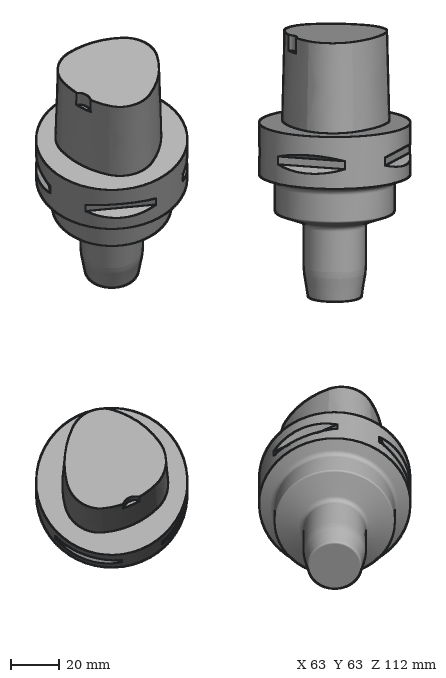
import cadquery as cq
import math

TOTAL_HEIGHT = 112.0
SHANK_HEIGHT = 38.0
FLANGE_TOP = TOTAL_HEIGHT - SHANK_HEIGHT

FLANGE_RADIUS = 63.0 / 2
FLANGE_BOTTOM = 52.1
COLLAR_RADIUS = 50.0 / 2
COLLAR_BOTTOM = 37.0
COLLAR_EDGE_ROUND = 0.9
NECK_RADIUS = 26.0 / 2
SHOULDER_ANGLE = math.radians(20)
SHOULDER_FILLET = 2.5

NOSE_BLEND_TOP = 13.0
NOSE_BLEND_RADIUS = 18.7
NOSE_ANGLE = math.radians(9)
TIP_ROUND = 0.9

LOBE_REACH = 23.5
FLANK_REACH = 20.5
LOBE_RADIUS = 14.9
SHANK_INSET = SHANK_HEIGHT / 40

GROOVE_COUNT = 4
GROOVE_Z = 62.0
GROOVE_FLOOR_HEIGHT = 3.4
GROOVE_FLOOR_DISTANCE = 27.8
GROOVE_WALL_ANGLE = math.radians(31)

NOTCH_RADIUS = 5.4
NOTCH_INNER_Y = -17.9
NOTCH_DEPTH = 6.5


def arc_point(center, radius, angle):
    """Point on a circle, angle in radians from the horizontal axis."""
    return (center[0] + radius * math.cos(angle), center[1] + radius * math.sin(angle))


def arc_to(sketch, center, radius, start, end):
    """Continue a sketch along a circle from angle start to angle end."""
    middle = arc_point(center, radius, (start + end) / 2)
    return sketch.threePointArc(middle, arc_point(center, radius, end))


def make_body():
    """Revolve the flange, collar, neck and nose."""
    cone_normal = SHOULDER_ANGLE - math.pi / 2
    slope = math.tan(SHOULDER_ANGLE)
    arc_width = 1 - math.sin(SHOULDER_ANGLE)
    arc_height = math.cos(SHOULDER_ANGLE)

    flange_cone_end = COLLAR_RADIUS + SHOULDER_FILLET * arc_width
    flange_cone_z = FLANGE_BOTTOM - (FLANGE_RADIUS - flange_cone_end) * slope
    collar_fillet = (COLLAR_RADIUS + SHOULDER_FILLET, flange_cone_z - SHOULDER_FILLET * arc_height)

    edge_round = (COLLAR_RADIUS - COLLAR_EDGE_ROUND, COLLAR_BOTTOM)
    collar_cone_start = arc_point(edge_round, COLLAR_EDGE_ROUND, cone_normal)
    collar_cone_end = NECK_RADIUS + SHOULDER_FILLET * arc_width
    collar_cone_z = collar_cone_start[1] - (collar_cone_start[0] - collar_cone_end) * slope
    neck_fillet = (NECK_RADIUS + SHOULDER_FILLET, collar_cone_z - SHOULDER_FILLET * arc_height)

    nose_blend = (NECK_RADIUS - NOSE_BLEND_RADIUS, NOSE_BLEND_TOP)
    nose_cone_start = arc_point(nose_blend, NOSE_BLEND_RADIUS, -NOSE_ANGLE)
    tip_tangent_z = TIP_ROUND * (1 - math.sin(NOSE_ANGLE))
    tip_tangent_r = nose_cone_start[0] - (nose_cone_start[1] - tip_tangent_z) * math.tan(NOSE_ANGLE)
    tip_round = (tip_tangent_r - TIP_ROUND * math.cos(NOSE_ANGLE), TIP_ROUND)

    profile = (
        cq.Workplane("XZ")
        .moveTo(0, FLANGE_TOP)
        .lineTo(FLANGE_RADIUS, FLANGE_TOP)
        .lineTo(FLANGE_RADIUS, FLANGE_BOTTOM)
        .lineTo(flange_cone_end, flange_cone_z)
    )
    fillet_start = math.pi / 2 + SHOULDER_ANGLE
    profile = arc_to(profile, collar_fillet, SHOULDER_FILLET, fillet_start, math.pi)
    profile = profile.lineTo(COLLAR_RADIUS, COLLAR_BOTTOM)
    profile = arc_to(profile, edge_round, COLLAR_EDGE_ROUND, 0, cone_normal)
    profile = profile.lineTo(collar_cone_end, collar_cone_z)
    profile = arc_to(profile, neck_fillet, SHOULDER_FILLET, fillet_start, math.pi)
    profile = profile.lineTo(NECK_RADIUS, NOSE_BLEND_TOP)
    profile = arc_to(profile, nose_blend, NOSE_BLEND_RADIUS, 0, -NOSE_ANGLE)
    profile = profile.lineTo(tip_tangent_r, tip_tangent_z)
    profile = arc_to(profile, tip_round, TIP_ROUND, -NOSE_ANGLE, -math.pi / 2)
    return profile.lineTo(0, 0).close().revolve(360, (0, 0, 0), (0, 1, 0))


def lobed_outline(plane, inset):
    """Draw three lobes joined by tangent flank arcs, moved inward by inset."""
    lobe_offset = LOBE_REACH - LOBE_RADIUS
    gap = LOBE_REACH - FLANK_REACH
    flank_offset = (2 * gap * lobe_offset - gap**2) / (lobe_offset - 2 * gap)
    flank_radius = FLANK_REACH + flank_offset - inset
    lobe_radius = LOBE_RADIUS - inset

    half_flank = math.atan2(
        lobe_offset * math.cos(math.pi / 6),
        flank_offset + lobe_offset * math.sin(math.pi / 6),
    )
    half_lobe = math.pi / 3 - half_flank

    first_lobe = (0, lobe_offset)
    outline = plane.moveTo(*arc_point(first_lobe, lobe_radius, math.pi / 2 - half_lobe))
    for index in range(3):
        crest = math.pi / 2 + index * math.tau / 3
        lobe = arc_point((0, 0), lobe_offset, crest)
        outline = arc_to(outline, lobe, lobe_radius, crest - half_lobe, crest + half_lobe)
        flank = crest + math.pi / 3
        flank_center = arc_point((0, 0), -flank_offset, flank)
        outline = arc_to(outline, flank_center, flank_radius, flank - half_flank, flank + half_flank)
    return outline.close()


def make_shank():
    base = lobed_outline(cq.Workplane("XY", origin=(0, 0, FLANGE_TOP)), 0)
    return lobed_outline(base.workplane(offset=SHANK_HEIGHT), SHANK_INSET).loft(ruled=True)


def make_groove():
    """Straight trapezoidal cutter on the +X side, running along Y."""
    cutter_depth = FLANGE_RADIUS - GROOVE_FLOOR_DISTANCE
    half_floor = GROOVE_FLOOR_HEIGHT / 2
    half_mouth = half_floor + cutter_depth * math.tan(GROOVE_WALL_ANGLE)
    section = [
        (GROOVE_FLOOR_DISTANCE, GROOVE_Z - half_floor),
        (FLANGE_RADIUS, GROOVE_Z - half_mouth),
        (FLANGE_RADIUS, GROOVE_Z + half_mouth),
        (GROOVE_FLOOR_DISTANCE, GROOVE_Z + half_floor),
    ]
    return cq.Workplane("XZ").polyline(section).close().extrude(FLANGE_RADIUS, both=True)


def make_notch():
    return (
        cq.Workplane("XY", origin=(0, NOTCH_INNER_Y - NOTCH_RADIUS, TOTAL_HEIGHT))
        .circle(NOTCH_RADIUS)
        .extrude(-NOTCH_DEPTH)
    )


result = make_body().union(make_shank()).cut(make_notch())

groove = make_groove()
groove_step = 360 / GROOVE_COUNT
for index in range(GROOVE_COUNT):
    angle = (index + 0.5) * groove_step
    result = result.cut(groove.rotate((0, 0, 0), (0, 0, 1), angle))